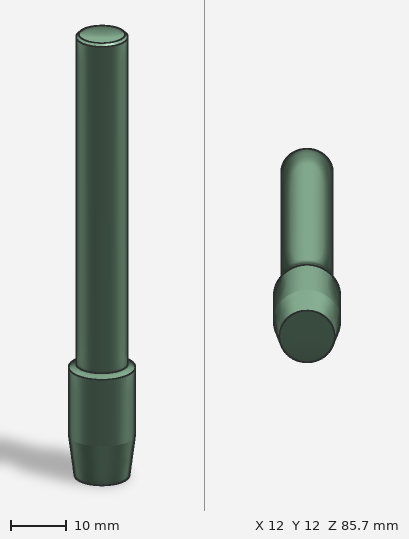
import cadquery as cq

total_height = 85.7

foot_diameter = 12.0
foot_tip_diameter = 9.9
foot_taper_height = 8.0
foot_cylinder_height = 13.0
shoulder_height = 0.7
foot_height = foot_taper_height + foot_cylinder_height + shoulder_height

rod_diameter = 9.3
rod_chamfer = 0.5
rod_length = total_height - foot_height


def make_foot():
    """Revolved foot whose shoulder slopes up to meet the rod."""
    foot_radius = foot_diameter / 2
    cylinder_top = foot_taper_height + foot_cylinder_height
    half_section = [
        (0, 0),
        (foot_tip_diameter / 2, 0),
        (foot_radius, foot_taper_height),
        (foot_radius, cylinder_top),
        (rod_diameter / 2, foot_height),
        (0, foot_height),
    ]
    return cq.Workplane("XZ").polyline(half_section).close().revolve(360, (0, 0), (0, 1))


def make_rod():
    """Plain round rod with a chamfered top edge."""
    return (
        cq.Workplane("XY")
        .workplane(offset=foot_height)
        .circle(rod_diameter / 2)
        .extrude(rod_length)
        .faces(">Z")
        .edges()
        .chamfer(rod_chamfer)
    )


foot = make_foot()
rod = make_rod()

result = cq.Compound.makeCompound([foot.val(), rod.val()])